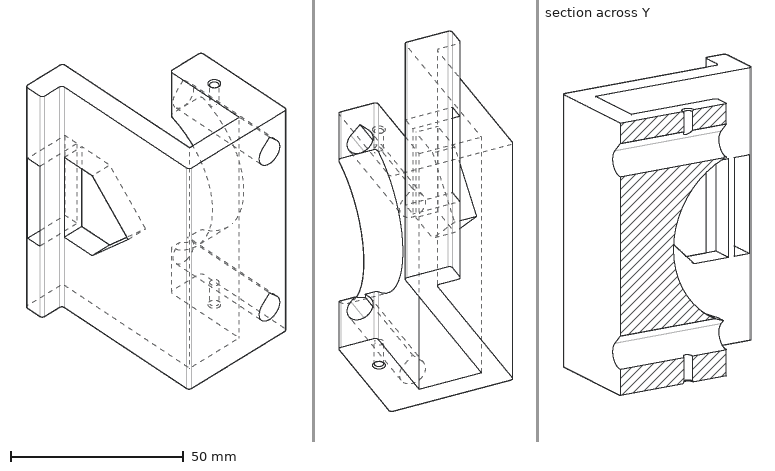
import cadquery as cq
import math

width = 60.0
depth = 47.4
height = 82.8
middle_z = height / 2

sheet_thickness = 7.0
lip_drop = 7.95
plate_back_y = lip_drop + sheet_thickness
wall_inner_x = width - sheet_thickness
block_left_x = 24.1
block_thickness = 12.5
block_front_y = depth - block_thickness
edge_radius = 1.0

window_tip_x = 34.6
window_height = 30.0

relief_half_height = 25.0
relief_depth = 17.8

rod_radius = 4.1
rod_y = depth - 7.1
rod_spacing = 58.45
rod_heights = (middle_z - rod_spacing / 2, middle_z + rod_spacing / 2)

screw_diameter = 2.7
screw_mouth_diameter = 3.7
screw_x = 37.0


def make_hook():
    outline = [
        (0, 0),
        (sheet_thickness, 0),
        (sheet_thickness, lip_drop),
        (width, lip_drop),
        (width, depth),
        (block_left_x, depth),
        (block_left_x, block_front_y),
        (wall_inner_x, block_front_y),
        (wall_inner_x, plate_back_y),
        (0, plate_back_y),
    ]
    sharp_corners = [(wall_inner_x, block_front_y), (wall_inner_x, plate_back_y)]
    hook = cq.Workplane("XY").polyline(outline).close().extrude(height)
    for x, y in outline:
        if (x, y) not in sharp_corners:
            edge = cq.selectors.NearestToPointSelector((x, y, middle_z))
            hook = hook.edges("|Z").edges(edge).fillet(edge_radius)
    return hook


def make_window():
    """Pentagon with a 45 degree point, split by a bar along the rounded lip edge."""
    half = window_height / 2
    shoulder_x = window_tip_x - half
    pentagon = [
        (edge_radius, middle_z - half),
        (shoulder_x, middle_z - half),
        (window_tip_x, middle_z),
        (shoulder_x, middle_z + half),
        (edge_radius, middle_z + half),
    ]
    opening = cq.Workplane("XZ").polyline(pentagon).close().extrude(-plate_back_y)
    bar = cq.Workplane("XY").box(2 * edge_radius, plate_back_y, height, centered=(True, False, False))
    return opening.cut(bar.translate((sheet_thickness, 0, 0)))


def make_relief():
    return (
        cq.Workplane("XZ", origin=(0, depth, 0))
        .moveTo(block_left_x, middle_z - relief_half_height)
        .threePointArc(
            (block_left_x + relief_depth, middle_z),
            (block_left_x, middle_z + relief_half_height),
        )
        .close()
        .extrude(block_thickness)
    )


def make_rod_hole(z):
    """Circle topped by a 45 degree roof, running the full width."""
    tangent = rod_radius * math.sqrt(0.5)
    return (
        cq.Workplane("YZ", origin=(0, rod_y, z))
        .moveTo(-tangent, tangent)
        .threePointArc((0, -rod_radius), (tangent, tangent))
        .lineTo(0, 2 * tangent)
        .close()
        .extrude(width)
    )


def make_screw_hole(rod_z, end_z):
    """Plain hole from an end face to the rod axis, with a 45 degree countersink."""
    inward = math.copysign(1, rod_z - end_z)
    radius = screw_diameter / 2
    mouth_radius = screw_mouth_diameter / 2
    half_section = [
        (0, end_z),
        (mouth_radius, end_z),
        (radius, end_z + inward * (mouth_radius - radius)),
        (radius, rod_z),
        (0, rod_z),
    ]
    hole = cq.Workplane("XZ").polyline(half_section).close().revolve(360, (0, 0), (0, 1))
    return hole.translate((screw_x, rod_y, 0))


result = make_hook().cut(make_window()).cut(make_relief())
for rod_z, end_z in zip(rod_heights, (0, height)):
    result = result.cut(make_rod_hole(rod_z))
    result = result.cut(make_screw_hole(rod_z, end_z))